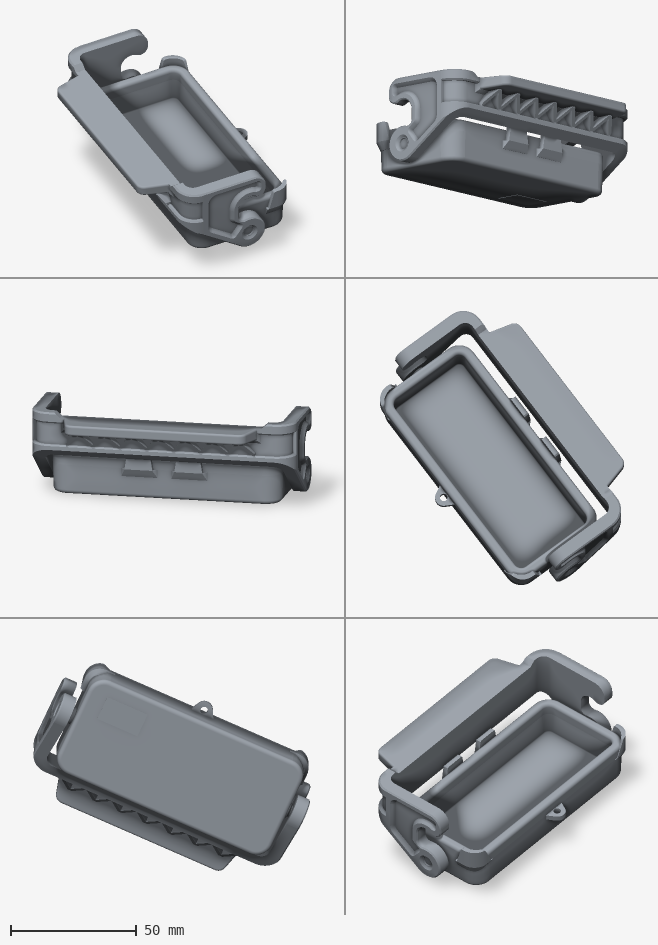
import cadquery as cq
import math

BODY_X, BODY_Y = 93.7, 42.8
BODY_CORNER = 7.1
FLOOR_BASE = 0.2
PARTING_Z = 12.3
RIM_Z = 17.1
OUTER_DRAFT = 2.0
BASE_EDGE_RADIUS = 1.7
RIM_RADIUS = 1.4
WALL = 4.0
FLOOR_Z = 3.2
INNER_DRAFT = 4.5
FLOOR_EDGE_RADIUS = 0.5

PAD_X = (21.0, 38.5)
PAD_Y = (5.0, 14.9)

TAB_HOLE_Y = 23.1
TAB_HOLE_DIAMETER = 3.0
TAB_TIP_RADIUS = 3.4
TAB_ROOT_HALF = 4.8
TAB_THICKNESS = 2.2

SKIRT_Z = 8.9
GUIDE_TOP_Z = 20.1
EAR_HALF_X, EAR_HALF_Y = 48.5, 21.7
EAR_CORNER = 6.5
GUIDE_SEAT = 0.2
EAR_SIDE_Y = (10.6, 11.5, 13.8)
EAR_BACK_X = (38.2, 39.2, 43.0)
EAR_TIP_RADIUS = 1.1
LUG_SPACING = 20.3
LUG_FRONT_Y = -23.4
LUG_TOP_HALF, LUG_PARTING_HALF, LUG_SKIRT_HALF = 4.4, 5.7, 7.3
LUG_EDGE = 0.5

LEVER_X = 107.5
ARM = 5.4
LEVER_FRONT_Y = -28.8
FRONT_WALL = 4.2
LEVER_CORNER, LEVER_INNER_CORNER = 8.1, 3.8
PIVOT_Z = 8.4
PIVOT_EYE_RADIUS = 7.1
UNDER_ANGLE = 35.0
LEVER_TOP_Z = 35.3
HOOK_BACK_Y = 7.4
HOOK_RADIUS = 5.4
HOOK_LIP_RADIUS = 3.2
SLOT_Z, SLOT_RADIUS = 21.5, 4.7
SLOT_FOOT_RADIUS = 2.4
ARM_EDGE = 0.5

BAND_Z = (22.1, 30.9)
BAND_DEPTH = 1.5
BAND_START_Y = -20.7
LIP_BEVEL = 0.6

POCKET_MARGIN = 2.3
POCKET_DEPTH = 1.6
POCKET_DRAFT = 40.0
POCKET_FRONT_Y = -18.6
POCKET_CORNER = 3.9
POCKET_TIP_RADIUS = 1.6

FLAP_TOP_Z = 33.3
FLAP_TIP_Y = -40.4
FLAP_ROOT_HALF, FLAP_TIP_HALF = 39.3, 36.2
FLAP_CORNER = 3.4
FLAP_ROOT_Z, FLAP_TIP_Z = 28.5, 29.2
FLAP_EDGE = 0.9
FLAP_COLLAR = 1.4
SADDLE_TOP_HALF, SADDLE_HALF = 43.2, 41.0
RIB_PEAKS = 7
RIB_PITCH = 11.0
RIB_WIDTH = 1.4
RIB_TIP_Y = -33.9

PIN_BASE_RADIUS, PIN_END_RADIUS = 3.4, 2.5
PIN_COLLAR = 0.4
PIN_DIMPLE_RADIUS, PIN_DIMPLE_DEPTH = 2.5, 1.6
PIN_DIMPLE_BEVEL = 1.0
PIN_DIMPLE_DRAFT = 12.0

OVERLAP = 1.1
FAR = 64.5


def box(x_range, y_range, z_range):
    size = [b - a for a, b in (x_range, y_range, z_range)]
    return cq.Workplane("XY").box(*size, centered=False).translate((x_range[0], y_range[0], z_range[0]))


def rounded_block(size_x, size_y, corner, z, height, draft=0.0):
    """Rounded rectangle at height z, extruded by a signed height."""
    outline = cq.Sketch().rect(size_x, size_y).vertices().fillet(corner)
    return cq.Workplane("XY", origin=(0, 0, z)).placeSketch(outline).extrude(height, taper=draft)


def along_x(points, x_start, length):
    """Prism along +X from (Y, Z) points."""
    return cq.Workplane("YZ", origin=(x_start, 0, 0)).polyline(points).close().extrude(length)


def along_y(points, y_start, length):
    """Prism along -Y from (X, Z) points."""
    return cq.Workplane("XZ", origin=(0, y_start, 0)).polyline(points).close().extrude(length)


def both_sides(shape):
    return shape.union(shape.mirror("YZ"))


def make_housing():
    lower = rounded_block(BODY_X, BODY_Y, BODY_CORNER, PARTING_Z, FLOOR_BASE - PARTING_Z, OUTER_DRAFT)
    lower = lower.faces("<Z").edges().fillet(BASE_EDGE_RADIUS)
    upper = rounded_block(BODY_X, BODY_Y, BODY_CORNER, PARTING_Z, RIM_Z - PARTING_Z)
    cavity_size = (BODY_X - 2 * WALL, BODY_Y - 2 * WALL, BODY_CORNER - WALL)
    upper = upper.cut(rounded_block(*cavity_size, PARTING_Z, RIM_Z - PARTING_Z))
    upper = upper.faces(">Z").edges().fillet(RIM_RADIUS)
    cavity = rounded_block(*cavity_size, PARTING_Z, FLOOR_Z - PARTING_Z, INNER_DRAFT)
    lower = lower.cut(cavity.faces("<Z").edges().fillet(FLOOR_EDGE_RADIUS))
    pad = box(PAD_X, PAD_Y, (0, FLOOR_BASE + OVERLAP))
    return lower.union(upper).union(pad)


def make_tab():
    wall_y = BODY_Y / 2
    rise = TAB_HOLE_Y - wall_y
    reach = math.hypot(TAB_ROOT_HALF, rise)
    angle = math.atan2(rise, -TAB_ROOT_HALF) - math.pi + math.acos(TAB_TIP_RADIUS / reach)
    touch_x = TAB_TIP_RADIUS * math.cos(angle)
    touch_y = TAB_HOLE_Y + TAB_TIP_RADIUS * math.sin(angle)
    tab = (
        cq.Workplane("XY", origin=(0, 0, PARTING_Z))
        .moveTo(-TAB_ROOT_HALF, wall_y - OVERLAP)
        .lineTo(TAB_ROOT_HALF, wall_y - OVERLAP)
        .lineTo(TAB_ROOT_HALF, wall_y)
        .lineTo(touch_x, touch_y)
        .threePointArc((0, TAB_HOLE_Y + TAB_TIP_RADIUS), (-touch_x, touch_y))
        .lineTo(-TAB_ROOT_HALF, wall_y)
        .close()
        .extrude(-TAB_THICKNESS)
    )
    hole = (
        cq.Workplane("XY", origin=(0, TAB_HOLE_Y, PARTING_Z))
        .circle(TAB_HOLE_DIAMETER / 2)
        .extrude(-TAB_THICKNESS)
    )
    return tab.cut(hole)


def make_ears():
    plan = (2 * EAR_HALF_X, 2 * EAR_HALF_Y, EAR_CORNER)
    skirt_height = PARTING_Z - SKIRT_Z
    skirt_draft = math.degrees(math.atan((EAR_HALF_X - BODY_X / 2) / skirt_height))
    ring = rounded_block(*plan, PARTING_Z, GUIDE_TOP_Z - PARTING_Z)
    ring = ring.union(rounded_block(*plan, PARTING_Z, -skirt_height, skirt_draft))
    opening = (BODY_X - 2 * GUIDE_SEAT, BODY_Y - 2 * GUIDE_SEAT, BODY_CORNER - GUIDE_SEAT)
    ring = ring.cut(rounded_block(*opening, SKIRT_Z, GUIDE_TOP_Z - SKIRT_Z))

    def end_outline(skirt, parting, top):
        return [
            (skirt, SKIRT_Z),
            (skirt, PARTING_Z),
            (parting, PARTING_Z),
            (top, GUIDE_TOP_Z),
            (FAR, GUIDE_TOP_Z),
            (FAR, SKIRT_Z),
        ]

    side_limit = along_x(end_outline(*EAR_SIDE_Y), 0, FAR)
    side_limit = side_limit.edges("|X").edges(">Z").edges("<Y").fillet(EAR_TIP_RADIUS)
    back_limit = along_y(end_outline(*EAR_BACK_X), FAR, FAR)
    back_limit = back_limit.edges("|Y").edges(">Z").edges("<X").fillet(EAR_TIP_RADIUS)
    return both_sides(ring.intersect(side_limit).intersect(back_limit))


def make_lug(x):
    wall_y = -BODY_Y / 2
    root_y = wall_y + GUIDE_SEAT
    front_view = [
        (-LUG_PARTING_HALF, PARTING_Z),
        (LUG_PARTING_HALF, PARTING_Z),
        (LUG_TOP_HALF, GUIDE_TOP_Z),
        (-LUG_TOP_HALF, GUIDE_TOP_Z),
    ]
    blade = along_y(front_view, root_y, root_y - LUG_FRONT_Y)
    blade = blade.faces(">Z").edges("not >Y").chamfer(LUG_EDGE)
    skirt_plan = [
        (-LUG_SKIRT_HALF, root_y),
        (-LUG_SKIRT_HALF, wall_y),
        (-LUG_PARTING_HALF, LUG_FRONT_Y),
        (LUG_PARTING_HALF, LUG_FRONT_Y),
        (LUG_SKIRT_HALF, wall_y),
        (LUG_SKIRT_HALF, root_y),
    ]
    slope = [
        (root_y, SKIRT_Z),
        (wall_y, SKIRT_Z),
        (LUG_FRONT_Y, PARTING_Z),
        (root_y, PARTING_Z),
    ]
    skirt = cq.Workplane("XY").polyline(skirt_plan).close().extrude(PARTING_Z)
    skirt = skirt.intersect(along_x(slope, -FAR, 2 * FAR))
    return blade.union(skirt).translate((x, 0, 0))


def under_point():
    """Point (Y, Z) where the sloping underside leaves the pivot eye."""
    slope = math.radians(UNDER_ANGLE)
    return -PIVOT_EYE_RADIUS * math.sin(slope), PIVOT_Z - PIVOT_EYE_RADIUS * math.cos(slope)


def under_z(y):
    """Height of the sloping underside at y."""
    touch_y, touch_z = under_point()
    return touch_z + (touch_y - y) * math.tan(math.radians(UNDER_ANGLE))


def lever_profile():
    """Side outline of the lever, extruded over its full width."""
    lip_y = HOOK_BACK_Y - HOOK_LIP_RADIUS
    lip_share = SLOT_RADIUS / (SLOT_RADIUS + HOOK_LIP_RADIUS)
    lip_rise = math.sqrt((SLOT_RADIUS + HOOK_LIP_RADIUS) ** 2 - lip_y**2)
    lip_z = SLOT_Z + lip_rise
    meet = (lip_y * lip_share, SLOT_Z + lip_rise * lip_share)
    diagonal = math.sqrt(0.5)
    foot_y = SLOT_FOOT_RADIUS - SLOT_RADIUS
    eye_reach = PIVOT_EYE_RADIUS + SLOT_FOOT_RADIUS
    foot_z = PIVOT_Z + math.sqrt(eye_reach**2 - foot_y**2)
    eye_share = PIVOT_EYE_RADIUS / eye_reach
    foot_end = (foot_y * eye_share, PIVOT_Z + (foot_z - PIVOT_Z) * eye_share)
    foot_mid = (foot_y - SLOT_FOOT_RADIUS * diagonal, foot_z - SLOT_FOOT_RADIUS * diagonal)
    hook_mid = (
        HOOK_BACK_Y - HOOK_RADIUS * (1 - diagonal),
        LEVER_TOP_Z - HOOK_RADIUS * (1 - diagonal),
    )
    return (
        cq.Workplane("YZ", origin=(-LEVER_X / 2, 0, 0))
        .moveTo(LEVER_FRONT_Y, LEVER_TOP_Z)
        .lineTo(HOOK_BACK_Y - HOOK_RADIUS, LEVER_TOP_Z)
        .threePointArc(hook_mid, (HOOK_BACK_Y, LEVER_TOP_Z - HOOK_RADIUS))
        .lineTo(HOOK_BACK_Y, lip_z)
        .threePointArc((lip_y, lip_z - HOOK_LIP_RADIUS), meet)
        .threePointArc((-SLOT_RADIUS * diagonal, SLOT_Z + SLOT_RADIUS * diagonal), (-SLOT_RADIUS, SLOT_Z))
        .lineTo(-SLOT_RADIUS, foot_z)
        .threePointArc(foot_mid, foot_end)
        .threePointArc((PIVOT_EYE_RADIUS, PIVOT_Z), under_point())
        .lineTo(LEVER_FRONT_Y, under_z(LEVER_FRONT_Y))
        .close()
        .extrude(LEVER_X)
    )


def front_corner_block(half_x, front_y, corner, z_range):
    """Block open to the back, with rounded front corners."""
    block = box((-half_x, half_x), (front_y, FAR), z_range)
    return block.edges("|Z and <Y").fillet(corner)


def lever_envelope():
    """Outer limit of the lever: plain arms, with a relief band round the front."""
    half_x = LEVER_X / 2
    lower = front_corner_block(half_x, LEVER_FRONT_Y, LEVER_CORNER, (0, BAND_Z[0]))
    lower = lower.faces(">Z").edges("not >Y").chamfer(LIP_BEVEL)
    upper = front_corner_block(half_x, LEVER_FRONT_Y, LEVER_CORNER, (BAND_Z[1], LEVER_TOP_Z))
    upper = upper.faces("<Z or >Z").edges("not >Y").chamfer(LIP_BEVEL)
    core = front_corner_block(
        half_x - BAND_DEPTH, LEVER_FRONT_Y + BAND_DEPTH, LEVER_CORNER - BAND_DEPTH, (0, LEVER_TOP_Z)
    )
    arms = box((-half_x, half_x), (BAND_START_Y, FAR), (0, LEVER_TOP_Z))
    return lower.union(core).union(upper).union(arms)


def make_lever():
    lever = lever_profile()
    for side in ("<X", ">X"):
        lever = lever.faces(side).edges("not <Y").chamfer(ARM_EDGE)
    lever = lever.intersect(lever_envelope())
    inner_half = LEVER_X / 2 - ARM
    inner_y = LEVER_FRONT_Y + FRONT_WALL
    lever = lever.cut(front_corner_block(inner_half, inner_y, LEVER_INNER_CORNER, (0, LEVER_TOP_Z)))
    saddle = [
        (-SADDLE_HALF, FLAP_TOP_Z),
        (SADDLE_HALF, FLAP_TOP_Z),
        (SADDLE_TOP_HALF, LEVER_TOP_Z),
        (-SADDLE_TOP_HALF, LEVER_TOP_Z),
    ]
    return lever.cut(along_y(saddle, inner_y, FRONT_WALL))


def make_pockets():
    """Sloped-wall pocket that follows the hook outline in each arm."""
    slot_edge = SLOT_RADIUS + POCKET_MARGIN
    top_z = LEVER_TOP_Z - POCKET_MARGIN
    back_y = HOOK_BACK_Y - POCKET_MARGIN
    rise = POCKET_MARGIN / math.cos(math.radians(UNDER_ANGLE))
    foot_y = -PIVOT_EYE_RADIUS
    diagonal = slot_edge * math.sqrt(0.5)
    hook_y = back_y - POCKET_MARGIN
    hook_z = SLOT_Z + math.sqrt(slot_edge**2 - hook_y**2)
    eye_top = PIVOT_Z + PIVOT_EYE_RADIUS
    blank = (
        cq.Workplane("YZ", origin=(-LEVER_X / 2, 0, 0))
        .moveTo(back_y, top_z)
        .lineTo(POCKET_FRONT_Y, top_z)
        .lineTo(POCKET_FRONT_Y, under_z(POCKET_FRONT_Y) + rise)
        .lineTo(foot_y, under_z(foot_y) + rise)
        .lineTo(-SLOT_RADIUS + POCKET_MARGIN, eye_top - POCKET_MARGIN)
        .lineTo(-slot_edge, eye_top + POCKET_MARGIN / 2)
        .lineTo(-slot_edge, SLOT_Z)
        .threePointArc((-diagonal, SLOT_Z + diagonal), (hook_y, hook_z))
        .lineTo(back_y, hook_z)
        .close()
        .extrude(POCKET_DEPTH)
    )
    blank = blank.edges("|X").edges("<Y").fillet(POCKET_CORNER)
    eye_zone = cq.selectors.BoxSelector(
        (-FAR, POCKET_FRONT_Y + POCKET_CORNER, 0), (FAR, FAR, SLOT_Z - OVERLAP)
    )
    blank = blank.edges("|X").edges(eye_zone).fillet(POCKET_TIP_RADIUS)
    blank = blank.edges("|X").edges(">Y").fillet(POCKET_TIP_RADIUS)
    opening = blank.faces("<X").wires().toPending().workplane(invert=True)
    pocket = opening.extrude(POCKET_DEPTH, combine=False, taper=POCKET_DRAFT)
    return both_sides(pocket)


def make_flap():
    root_y = LEVER_FRONT_Y + BAND_DEPTH
    side_view = [
        (root_y + OVERLAP, FLAP_TOP_Z),
        (FLAP_TIP_Y, FLAP_TOP_Z),
        (FLAP_TIP_Y, FLAP_TIP_Z),
        (root_y + OVERLAP, FLAP_ROOT_Z),
    ]
    plan = (
        cq.Workplane("XY")
        .polyline([
            (-FLAP_ROOT_HALF, root_y + OVERLAP),
            (-FLAP_ROOT_HALF, LEVER_FRONT_Y),
            (-FLAP_TIP_HALF, FLAP_TIP_Y),
            (FLAP_TIP_HALF, FLAP_TIP_Y),
            (FLAP_ROOT_HALF, LEVER_FRONT_Y),
            (FLAP_ROOT_HALF, root_y + OVERLAP),
        ])
        .close()
        .extrude(LEVER_TOP_Z)
        .edges("|Z and <Y")
        .fillet(FLAP_CORNER)
    )
    flap = along_x(side_view, -FAR, 2 * FAR).intersect(plan)
    flap = flap.faces("<Y").edges("<Z or >Z").fillet(FLAP_EDGE)
    collar_base_z = FLAP_ROOT_Z - FLAP_COLLAR
    collar = (
        cq.Workplane("XZ", origin=(0, root_y, (FLAP_TOP_Z + collar_base_z) / 2))
        .rect(2 * (FLAP_ROOT_HALF + FLAP_COLLAR), FLAP_TOP_Z - collar_base_z)
        .extrude(FLAP_COLLAR, taper=45)
    )
    return flap.union(collar)


def make_ribs():
    """Zigzag of thin webs under the flap, trimmed to a sloping front."""
    root_y = LEVER_FRONT_Y + BAND_DEPTH + OVERLAP
    low_z, high_z = BAND_Z[0], FLAP_ROOT_Z
    web = RIB_WIDTH * math.hypot(RIB_PITCH / 2, high_z - low_z) / (RIB_PITCH / 2) / 2
    trim = along_x(
        [(root_y, low_z - web), (LEVER_FRONT_Y, low_z - web), (LEVER_FRONT_Y, low_z),
         (RIB_TIP_Y, high_z), (RIB_TIP_Y, high_z + web), (root_y, high_z + web)],
        -FAR, 2 * FAR,
    )
    ribs = cq.Workplane("XY")
    for i in range(RIB_PEAKS):
        peak_x = (i - (RIB_PEAKS - 1) / 2) * RIB_PITCH
        for direction in (-1, 1):
            foot_x = peak_x + direction * RIB_PITCH / 2
            strip = [
                (peak_x, high_z - web),
                (peak_x, high_z + web),
                (foot_x, low_z + web),
                (foot_x, low_z - web),
            ]
            ribs = ribs.union(along_y(strip, root_y, root_y - RIB_TIP_Y))
    return ribs.intersect(trim)


def make_pins():
    """Conical bosses that carry the lever arms on the housing walls."""
    arm_x = LEVER_X / 2 - ARM
    base_x = BODY_X / 2 - OVERLAP
    pin = (
        cq.Workplane("XY")
        .polyline([
            (0, base_x),
            (PIN_BASE_RADIUS, base_x),
            (PIN_BASE_RADIUS, BODY_X / 2 + PIN_COLLAR),
            (PIN_END_RADIUS, arm_x - PIN_COLLAR),
            (PIN_END_RADIUS, arm_x + OVERLAP),
            (0, arm_x + OVERLAP),
        ])
        .close()
        .revolve(360, (0, 0, 0), (0, 1, 0))
    )
    pin = pin.rotate((0, 0, 0), (0, 0, 1), -90).translate((0, 0, PIVOT_Z))
    return both_sides(pin)


def make_dimples():
    """Bevelled blind hole in the pivot eye of each arm."""
    start = cq.Workplane("YZ", origin=(-LEVER_X / 2, 0, PIVOT_Z))
    dimple = start.circle(PIN_DIMPLE_RADIUS).extrude(PIN_DIMPLE_DEPTH, taper=PIN_DIMPLE_DRAFT)
    bevel = start.circle(PIN_DIMPLE_RADIUS + PIN_DIMPLE_BEVEL).extrude(PIN_DIMPLE_BEVEL, taper=45)
    return both_sides(dimple.union(bevel))


housing = make_housing().union(make_tab()).union(make_ears())
for lug_x in (-LUG_SPACING / 2, LUG_SPACING / 2):
    housing = housing.union(make_lug(lug_x))

lever = make_lever().union(make_flap()).union(make_ribs())
lever = lever.union(make_pins()).cut(make_pockets()).cut(make_dimples())

result = housing.union(lever)